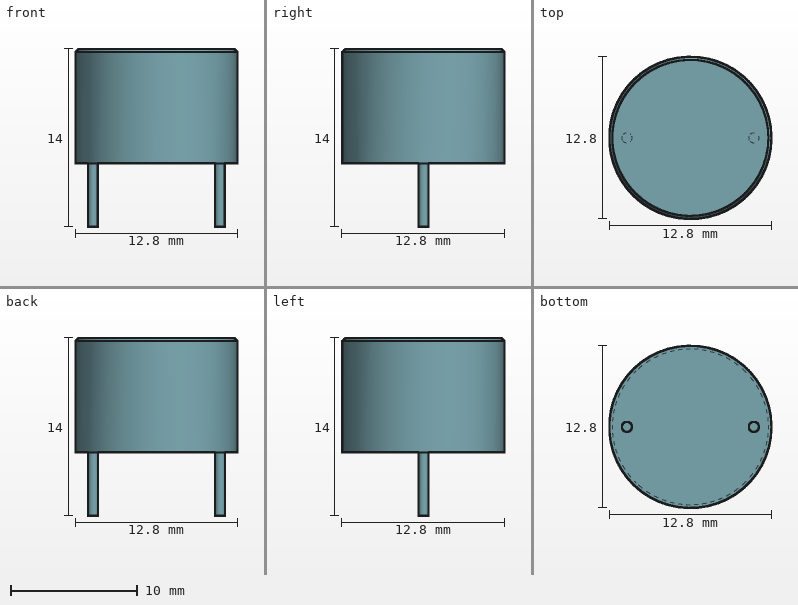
import cadquery as cq

total_height = 14.0
body_diameter = 12.8
pin_length = 5.0
pin_diameter = 0.8
pin_spacing = 10.0
rim_chamfer = 0.25

body_height = total_height - pin_length


def make_body():
    """Cylindrical case standing on Z = 0, with a chamfered top rim."""
    case = cq.Workplane("XY").circle(body_diameter / 2).extrude(body_height)
    return case.faces(">Z").edges().chamfer(rim_chamfer)


def make_pins():
    """Two round pins hanging below the case, spaced along X."""
    pin_centers = [(-pin_spacing / 2, 0), (pin_spacing / 2, 0)]
    return cq.Workplane("XY").pushPoints(pin_centers).circle(pin_diameter / 2).extrude(-pin_length)


result = make_body().union(make_pins())